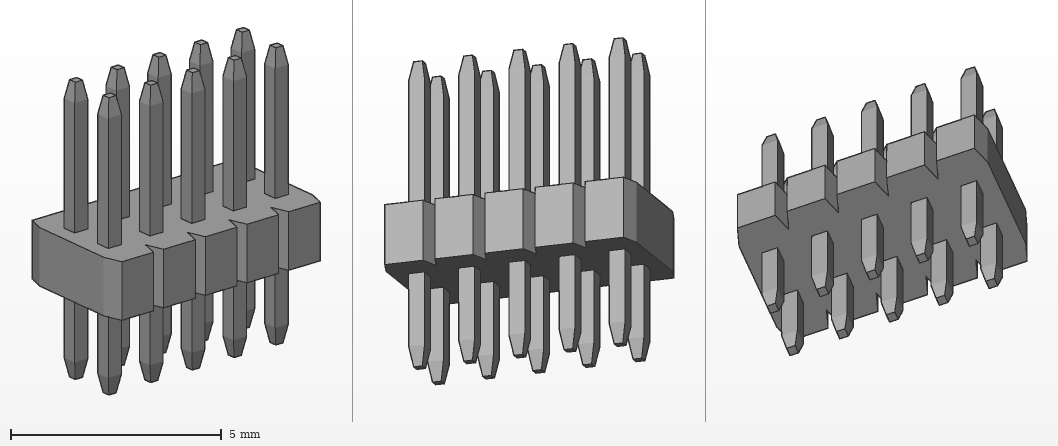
import cadquery as cq

ROWS = 5
COLUMNS = 2

BODY_WIDTH = 3.4
BODY_LENGTH = 6.35
BODY_HEIGHT = 1.5
PITCH = BODY_LENGTH / ROWS

NOTCH_DEPTH = 0.49
NOTCH_HALF_WIDTH = 0.15

TOTAL_HEIGHT = 7.6
PIN_BELOW_BODY = 2.3
PIN_WIDTH = 0.4
TIP_WIDTH = 0.22
TAPER_LENGTH = 0.49


def make_body():
    """Block centred on Z, resting on Z = 0, with V notches in both long sides."""
    body = cq.Workplane("XY").box(BODY_WIDTH, BODY_LENGTH, BODY_HEIGHT, centered=(True, True, False))
    side_x = BODY_WIDTH / 2
    notch_x = side_x - NOTCH_DEPTH
    for side in (-1, 1):
        for boundary in range(ROWS + 1):
            y = boundary * PITCH - BODY_LENGTH / 2
            notch = (
                cq.Workplane("XY")
                .moveTo(side * notch_x, y)
                .lineTo(side * side_x, y - NOTCH_HALF_WIDTH)
                .lineTo(side * side_x, y + NOTCH_HALF_WIDTH)
                .close()
                .extrude(BODY_HEIGHT)
            )
            body = body.cut(notch)
    return body


def make_taper():
    """Pyramid-shaped pin end, growing upward from Z = 0."""
    return (
        cq.Workplane("XY")
        .rect(PIN_WIDTH, PIN_WIDTH)
        .workplane(offset=TAPER_LENGTH)
        .rect(TIP_WIDTH, TIP_WIDTH)
        .loft(ruled=True)
    )


def make_pin():
    """Square pin through the body, on the Z axis."""
    shaft_bottom = TAPER_LENGTH - PIN_BELOW_BODY
    shaft_length = TOTAL_HEIGHT - 2 * TAPER_LENGTH
    shaft = (
        cq.Workplane("XY")
        .workplane(offset=shaft_bottom)
        .rect(PIN_WIDTH, PIN_WIDTH)
        .extrude(shaft_length)
    )
    upper_end = make_taper().translate((0, 0, shaft_bottom + shaft_length))
    lower_end = make_taper().mirror("XY").translate((0, 0, shaft_bottom))
    return shaft.union(upper_end).union(lower_end)


result = make_body()
pin = make_pin()
for column in range(COLUMNS):
    for row in range(ROWS):
        pin_x = (column - (COLUMNS - 1) / 2) * PITCH
        pin_y = (row - (ROWS - 1) / 2) * PITCH
        result = result.union(pin.translate((pin_x, pin_y, 0)))